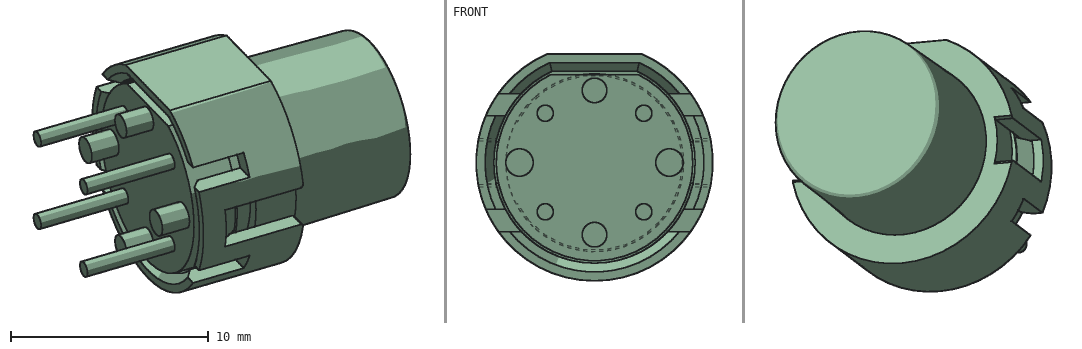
import cadquery as cq
import math


overall_length = 17.8

housing_diameter = 11.98
housing_radius = housing_diameter / 2
housing_flat = 5.5
housing_length = 5.78
bore_radius = 5.09
bore_flat = 4.61
bore_depth = 3.49
lead_in = 0.45

cap_end = 12.8
cap_root_radius = 4.5
cap_tip_radius = 4.4
cap_edge_fillet = 0.21

window_half_width = 1.1
window_start = 1.3
window_floor_radius = bore_radius
window_mouth_chamfer = 0.12

notch_inner = 2.37
notch_outer = 3.49
notch_depth = 2.9

base_radius = 4.97
base_flat = 4.45
flange_thickness = 2.47
core_radius = 4.49

latch_half_width = 1.05
latch_start = 1.39
latch_end = 2.37
latch_tip_radius = 5.52

peg_length = 1.55
side_peg_radius = 0.7
side_peg_offset = 3.8
upright_peg_radius = 0.62
upright_peg_offset = 3.65
pin_length = overall_length - cap_end
pin_radius = 0.41
pin_offset = 2.5


def plane_at(y):
    """Sketch plane at depth y, with its normal pointing to the back (+Y)."""
    return cq.Workplane(cq.Plane(origin=(0, y, 0), xDir=(1, 0, 0), normal=(0, 1, 0)))


def flat_topped_circle(y, radius, flat):
    """Circle about the axis, cut off by a horizontal flat above it."""
    half_flat = math.sqrt(radius**2 - flat**2)
    return (
        plane_at(y)
        .moveTo(-half_flat, -flat)
        .lineTo(half_flat, -flat)
        .threePointArc((0, radius), (-half_flat, -flat))
        .close()
    )


def rod(x, z, radius, length):
    """Round rod standing out from the base face towards -Y."""
    return plane_at(-length).center(x, -z).circle(radius).extrude(length)


def make_cap():
    return (
        cq.Workplane("XY")
        .moveTo(0, housing_length)
        .lineTo(cap_root_radius, housing_length)
        .lineTo(cap_tip_radius, cap_end)
        .lineTo(0, cap_end)
        .close()
        .revolve(360, (0, 0, 0), (0, 1, 0))
        .faces(">Y")
        .edges()
        .fillet(cap_edge_fillet)
    )


def window_cutter():
    """Cutter for both latch windows; behind the bore they keep a round floor."""
    mouth_start = housing_length - window_mouth_chamfer
    mouth_half_width = window_half_width + window_mouth_chamfer
    profile = (
        cq.Workplane("YZ")
        .moveTo(window_start, -window_half_width)
        .lineTo(mouth_start, -window_half_width)
        .lineTo(housing_length, -mouth_half_width)
        .lineTo(housing_length, mouth_half_width)
        .lineTo(mouth_start, window_half_width)
        .lineTo(window_start, window_half_width)
        .close()
        .extrude(housing_radius, both=True)
    )
    floor = plane_at(0).circle(window_floor_radius).extrude(housing_length)
    return profile.cut(floor)


def notch_cutter():
    """Cutter for the four rim notches, reaching right across the housing."""
    height = notch_outer - notch_inner
    middle = (notch_inner + notch_outer) / 2
    cutter = cq.Workplane("XY")
    for z in (-middle, middle):
        bar = cq.Workplane("XY").box(2 * housing_radius, notch_depth, height)
        cutter = cutter.add(bar.translate((0, notch_depth / 2, z)))
    return cutter.combine()


def make_housing():
    shell = flat_topped_circle(0, housing_radius, housing_flat).extrude(housing_length)
    bore = flat_topped_circle(0, bore_radius, bore_flat).extrude(bore_depth)
    mouth = flat_topped_circle(0, bore_radius + lead_in, bore_flat + lead_in).extrude(lead_in, taper=45)
    return (
        shell.cut(bore)
        .cut(mouth)
        .cut(window_cutter())
        .cut(notch_cutter())
        .union(make_cap())
    )


def make_latches():
    """Latch wedges on both sides, as a band of revolution trimmed to width."""
    band = (
        cq.Workplane("XY")
        .moveTo(core_radius, latch_start)
        .lineTo(latch_tip_radius, latch_start)
        .lineTo(base_radius, latch_end)
        .lineTo(core_radius, latch_end)
        .close()
        .revolve(360, (0, 0, 0), (0, 1, 0))
    )
    trim = cq.Workplane("XY").box(2 * latch_tip_radius, 2 * latch_end, 2 * latch_half_width)
    return band.intersect(trim)


def make_base():
    flange = flat_topped_circle(0, base_radius, base_flat).extrude(flange_thickness)
    core = plane_at(flange_thickness).circle(core_radius).extrude(bore_depth - flange_thickness)
    base = flange.union(core).union(make_latches())
    for side in (-1, 1):
        base = base.union(rod(side * side_peg_offset, 0, side_peg_radius, peg_length))
        base = base.union(rod(0, side * upright_peg_offset, upright_peg_radius, peg_length))
    return base


def make_pin(x, z):
    return rod(x, z, pin_radius, pin_length)


housing = make_housing()
base = make_base()
pins = []
for x in (-pin_offset, pin_offset):
    for z in (-pin_offset, pin_offset):
        pins.append(make_pin(x, z).val())

result = cq.Compound.makeCompound([housing.val(), base.val(), *pins])